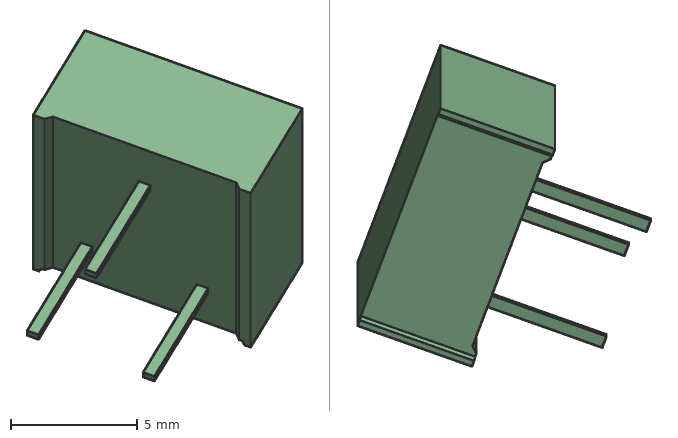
import cadquery as cq
import math

total_depth = 9.61
body_width = 9.52
body_height = 9.52
body_depth = 4.83

rail_width = 0.5
pin_face_relief = 0.25
pin_face_ramp_angle = 45.0

foot_width = 0.25
bottom_relief = 0.21
bottom_ramp_angle = 60.0

pin_width = 0.5
pin_thickness = 0.3
pin_pitch = 2.54
pin_row_spacing = 2 * pin_pitch

pin_tip_y = body_depth - total_depth
pin_centers = [
    (0, pin_row_spacing / 2),
    (-pin_pitch, -pin_row_spacing / 2),
    (pin_pitch, -pin_row_spacing / 2),
]


def relief_outline(plane, edge, border, depth, ramp_angle):
    """Symmetric trapezoid that leaves `border` on each side and narrows inward from `edge`.

    `ramp_angle` is the slope of the sides, measured from the open edge.
    """
    mouth_half = body_width / 2 - border
    floor_half = mouth_half - depth / math.tan(math.radians(ramp_angle))
    return (
        cq.Workplane(plane)
        .moveTo(-mouth_half, edge)
        .lineTo(-floor_half, edge + depth)
        .lineTo(floor_half, edge + depth)
        .lineTo(mouth_half, edge)
        .close()
    )


def make_housing():
    block = cq.Workplane("XY").box(body_width, body_depth, body_height, centered=(True, False, True))
    pin_face_cut = relief_outline("XY", 0, rail_width, pin_face_relief, pin_face_ramp_angle).extrude(
        body_height / 2, both=True
    )
    bottom_cut = relief_outline(
        "XZ", -body_height / 2, foot_width, bottom_relief, bottom_ramp_angle
    ).extrude(-body_depth)
    return block.cut(pin_face_cut).cut(bottom_cut)


def make_pins():
    return (
        cq.Workplane("XZ", origin=(0, pin_face_relief, 0))
        .pushPoints(pin_centers)
        .rect(pin_width, pin_thickness)
        .extrude(pin_face_relief - pin_tip_y)
    )


result = make_housing().union(make_pins())